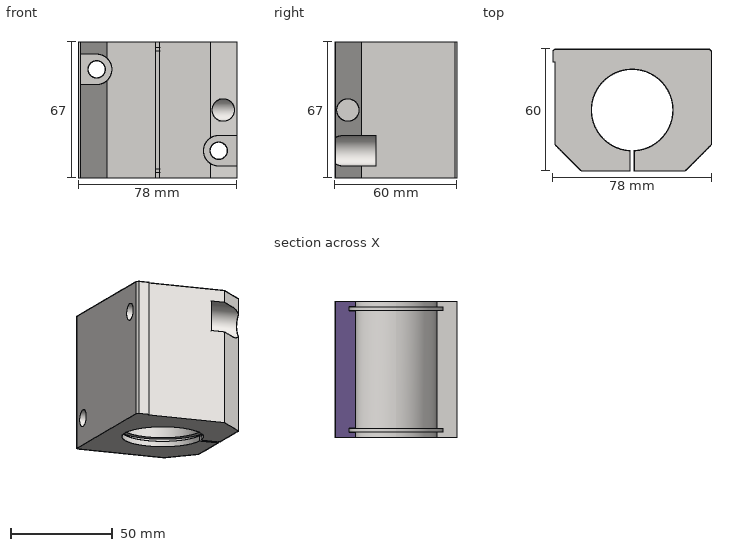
import cadquery as cq

HEIGHT = 67.0
HALF_WIDTH = 39.0
HALF_DEPTH = 30.0

FRONT_CHAMFER = 13.0
REAR_CHAMFER = 1.0
LEDGE_STEP = 1.0
LEDGE_DEPTH = 6.5

BORE_DIAMETER = 40.0
SLIT_WIDTH = 2.0
GROOVE_DIAMETER = 46.0
GROOVE_WIDTH = 1.85
GROOVE_INSET = 2.7

MOUNT_X = 30.0
MOUNT_Z = 20.0
MOUNT_DIAMETER = 8.38
SEAT_WIDTH = 15.0
SEAT_FLOOR_Y = -10.0

RECESS_DIAMETER = 11.0
RECESS_Y = -23.75
RECESS_FLOOR_X = HALF_WIDTH - FRONT_CHAMFER


def make_block():
    """Chamfered prism with a shallow full-height ledge at the rear of the -X side."""
    side_x = -HALF_WIDTH + LEDGE_STEP
    chamfer_y = -HALF_DEPTH + FRONT_CHAMFER
    ledge_y = HALF_DEPTH - LEDGE_DEPTH
    outline = [
        (side_x + FRONT_CHAMFER, -HALF_DEPTH),
        (HALF_WIDTH - FRONT_CHAMFER, -HALF_DEPTH),
        (HALF_WIDTH, chamfer_y),
        (HALF_WIDTH, HALF_DEPTH - REAR_CHAMFER),
        (HALF_WIDTH - REAR_CHAMFER, HALF_DEPTH),
        (-HALF_WIDTH + REAR_CHAMFER, HALF_DEPTH),
        (-HALF_WIDTH, HALF_DEPTH - REAR_CHAMFER),
        (-HALF_WIDTH, ledge_y),
        (side_x, ledge_y),
        (side_x, chamfer_y),
    ]
    return cq.Workplane("XY").polyline(outline).close().extrude(HEIGHT / 2, both=True)


def make_bore():
    """Bore, its two grooves and the slit that opens it to the front face."""
    bore = cq.Workplane("XY").circle(BORE_DIAMETER / 2).extrude(HEIGHT / 2, both=True)
    groove_offset = HEIGHT / 2 - GROOVE_INSET - GROOVE_WIDTH / 2
    for groove_z in (-groove_offset, groove_offset):
        groove = cq.Workplane("XY").cylinder(GROOVE_WIDTH, GROOVE_DIAMETER / 2)
        bore = bore.union(groove.translate((0, 0, groove_z)))
    slit = cq.Workplane("XY").box(SLIT_WIDTH, HALF_DEPTH, HEIGHT)
    return bore.union(slit.translate((0, -HALF_DEPTH / 2, 0)))


def make_mount(side):
    """Through hole and head seat; side is -1 (upper, -X) or 1 (lower, +X)."""
    x = side * MOUNT_X
    z = -side * MOUNT_Z
    seat_depth = SEAT_FLOOR_Y + HALF_DEPTH
    front = cq.Workplane("XZ", origin=(x, -HALF_DEPTH, z))
    hole = front.circle(MOUNT_DIAMETER / 2).extrude(-2 * HALF_DEPTH)
    round_end = front.circle(SEAT_WIDTH / 2).extrude(-seat_depth)
    open_length = HALF_WIDTH - MOUNT_X
    open_side = front.center(side * open_length / 2, 0).rect(open_length, SEAT_WIDTH).extrude(-seat_depth)
    return hole.union(round_end).union(open_side)


def make_clamp_recess():
    """Round recess whose mouth opens on the sloping chamfer face."""
    recess = cq.Workplane("YZ", origin=(RECESS_FLOOR_X, RECESS_Y, 0)).circle(RECESS_DIAMETER / 2)
    return recess.extrude(HALF_WIDTH - RECESS_FLOOR_X)


result = make_block().cut(make_bore()).cut(make_clamp_recess())
for mount_side in (-1, 1):
    result = result.cut(make_mount(mount_side))